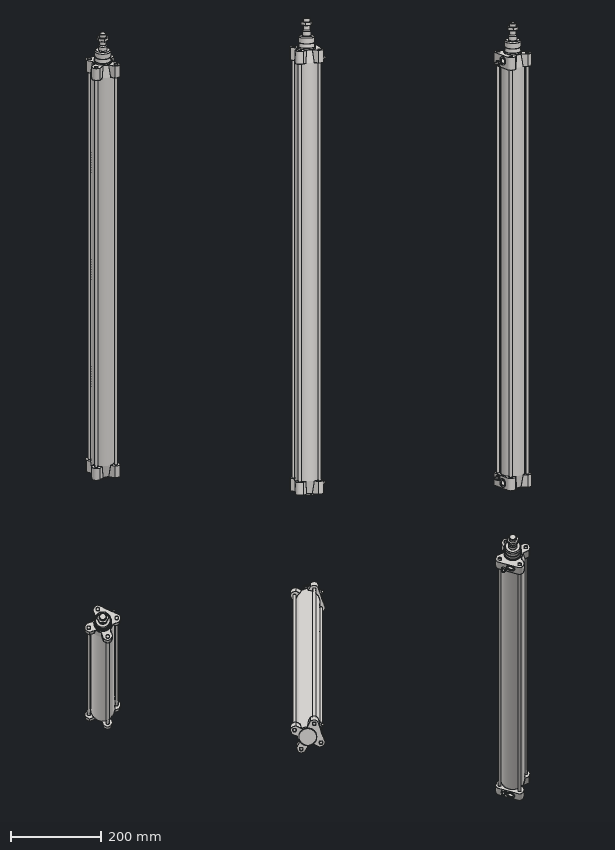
import cadquery as cq
import math


total_height = 1079.0
spigot_height = 4.0
cap_height = 29.0
front_cap_drop = 69.0
front_cap_top = total_height - front_cap_drop
front_cap_base = front_cap_top - cap_height
rear_cap_top = spigot_height + cap_height

tube_diameter = 54.0
tie_rod_diameter = 7.1
tie_rod_spacing = 46.0
tie_rod_offset = tie_rod_spacing / 2

cap_width = 65.0
cap_corner_radius = cap_width / 2 - tie_rod_offset
arm_width = 22.0
core_end_diameter = 45.0
screw_hole_diameter = 8.0
screw_hole_depth = 4.0

spigot_diameter = 40.0
front_spigot_height = 3.0
collar_neck_diameter = 35.0
collar_ring_base = front_cap_top + 13.0
collar_diameter = 37.0
collar_height = 29.0
collar_chamfer_height = 3.0
collar_chamfer_depth = 2.0

port_y = -4.9
port_height = 16.0
spot_face_diameter = 19.0
spot_face_depth = 1.0
port_diameter = 12.0
port_depth = 11.0

cushion_y = 10.0
cushion_height = 8.0
cushion_reach = 41.0
cushion_boss_diameter = 12.0
cushion_boss_length = 3.0
cushion_stem_diameter = 6.0

rod_diameter = 19.0
rod_shoulder_top = total_height - 27.0
rod_shoulder_height = 3.0
rod_seat_depth = 16.0
thread_diameter = 16.0
thread_chamfer = 1.0
nut_width = 24.0
nut_thickness = 8.0
nut_top = total_height - 9.0


def cylinder(diameter, bottom, top):
    return cq.Workplane("XY", origin=(0, 0, bottom)).circle(diameter / 2).extrude(top - bottom)


def cone(bottom_diameter, top_diameter, bottom, top):
    base_point = cq.Vector(0, 0, bottom)
    solid = cq.Solid.makeCone(bottom_diameter / 2, top_diameter / 2, top - bottom, pnt=base_point)
    return cq.Workplane(solid)


def side_cylinder(diameter, y, z, start_x, end_x):
    return cq.Workplane("YZ", origin=(start_x, y, z)).circle(diameter / 2).extrude(end_x - start_x)


def corner_cylinders(diameter, bottom, top):
    plane = cq.Workplane("XY", origin=(0, 0, bottom))
    return plane.rarray(tie_rod_spacing, tie_rod_spacing, 2, 2).circle(diameter / 2).extrude(top - bottom)


def cap_body():
    """Cap standing on its tube end at Z = 0."""
    body = cone(tube_diameter, core_end_diameter, 0, cap_height)
    outline = cq.Workplane("XY").rect(cap_width, cap_width).extrude(cap_height)
    outline = outline.edges("|Z").fillet(cap_corner_radius)
    cap_diagonal = math.sqrt(2) * cap_width
    for angle in (45, -45):
        arm = cq.Workplane("XY").rect(cap_diagonal, arm_width).extrude(cap_height)
        arm = arm.rotate((0, 0, 0), (0, 0, 1), angle)
        body = body.union(arm.intersect(outline))
    wall = (
        cq.Workplane("XY")
        .moveTo(0, 0)
        .lineTo(-tie_rod_offset, tie_rod_offset)
        .lineTo(-cap_width / 2, tie_rod_offset)
        .lineTo(-cap_width / 2, -tie_rod_offset)
        .lineTo(-tie_rod_offset, -tie_rod_offset)
        .close()
        .extrude(cap_height)
    )
    return body.union(wall)


def cushion_screw():
    boss_x = -cap_width / 2 - cushion_boss_length
    boss = side_cylinder(cushion_boss_diameter, cushion_y, cushion_height, boss_x, -cap_width / 2)
    stem = side_cylinder(cushion_stem_diameter, cushion_y, cushion_height, -cushion_reach, boss_x)
    return boss.union(stem)


def air_port():
    wall_x = -cap_width / 2
    spot_face_x = wall_x + spot_face_depth
    spot_face = side_cylinder(
        spot_face_diameter, port_y, port_height, wall_x - cushion_boss_length, spot_face_x
    )
    return spot_face.union(side_cylinder(port_diameter, port_y, port_height, wall_x, wall_x + port_depth))


def end_cap():
    screw_holes = corner_cylinders(screw_hole_diameter, cap_height - screw_hole_depth, cap_height)
    return cap_body().union(cushion_screw()).cut(air_port()).cut(screw_holes)


def bearing_collar():
    spigot_top = front_cap_top + front_spigot_height
    collar_top = front_cap_top + collar_height
    spigot = cylinder(spigot_diameter, front_cap_top, spigot_top)
    neck = cone(collar_diameter, collar_neck_diameter, spigot_top, collar_ring_base)
    ring = cylinder(collar_diameter, collar_ring_base, collar_top)
    ring = ring.faces(">Z").chamfer(collar_chamfer_height, collar_chamfer_depth)
    return spigot.union(neck).union(ring)


def piston_rod():
    shank = cylinder(rod_diameter, front_cap_top - rod_seat_depth, rod_shoulder_top)
    shoulder_step = (rod_diameter - thread_diameter) / 2
    shank = shank.faces(">Z").chamfer(rod_shoulder_height, shoulder_step)
    thread = cylinder(thread_diameter, rod_shoulder_top, total_height)
    thread = thread.faces(">Z").chamfer(thread_chamfer)
    return shank.union(thread)


def cylinder_housing():
    front_cap = end_cap().translate((0, 0, front_cap_base))
    rear_cap = end_cap().mirror("XY").translate((0, 0, rear_cap_top))
    body = cylinder(tube_diameter, rear_cap_top, front_cap_base)
    body = body.union(corner_cylinders(tie_rod_diameter, rear_cap_top, front_cap_base))
    body = body.union(front_cap).union(rear_cap)
    body = body.union(cylinder(spigot_diameter, 0, spigot_height))
    body = body.union(bearing_collar())
    return body.cut(cylinder(rod_diameter, front_cap_top - rod_seat_depth, total_height))


def rod_nut():
    """Hexagon with corners along X and flats along Y."""
    corner_diameter = nut_width / math.cos(math.pi / 6)
    return (
        cq.Workplane("XY", origin=(0, 0, nut_top - nut_thickness))
        .polygon(6, corner_diameter)
        .circle(thread_diameter / 2)
        .extrude(nut_thickness)
    )


housing = cylinder_housing()
rod = piston_rod()
nut = rod_nut()

result = cq.Compound.makeCompound([housing.val(), rod.val(), nut.val()])